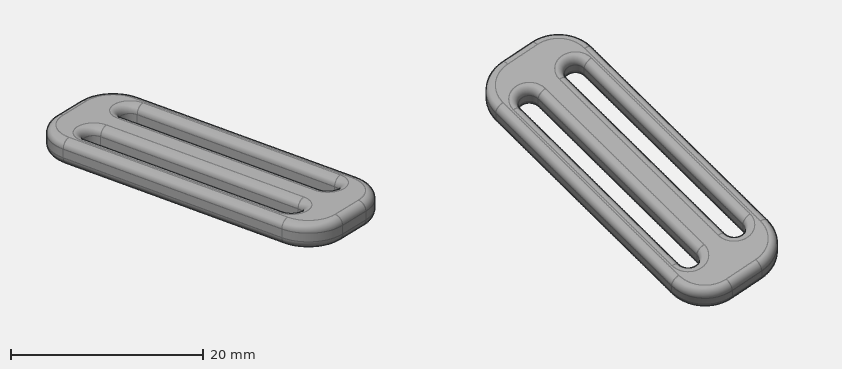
import cadquery as cq

length = 37.8
width = 12.95
thickness = 3.0
corner_radius = 4.5
edge_radius = 1.0

slot_length = 28.35
slot_width = 2.35
slot_spacing = 6.2


def make_plate():
    """Plate with rounded corners and rounded outer rims."""
    plate = cq.Workplane("XY").box(length, width, thickness)
    plate = plate.edges("|Z").fillet(corner_radius)
    return plate.faces("<Z or >Z").edges().fillet(edge_radius)


def cut_slots(plate):
    """Cut both slots and round their rims on the two flat faces."""
    slot_centers = [(0, -slot_spacing / 2), (0, slot_spacing / 2)]
    slots = (
        cq.Workplane("XY")
        .pushPoints(slot_centers)
        .slot2D(slot_length, slot_width)
        .extrude(thickness, both=True)
    )
    slotted = plate.cut(slots)
    flat_faces = slotted.faces("<Z or >Z").vals()
    rims = [rim for face in flat_faces for rim in face.innerWires()]
    rim_edges = [edge for rim in rims for edge in rim.Edges()]
    return slotted.newObject(rim_edges).fillet(edge_radius)


result = cut_slots(make_plate())